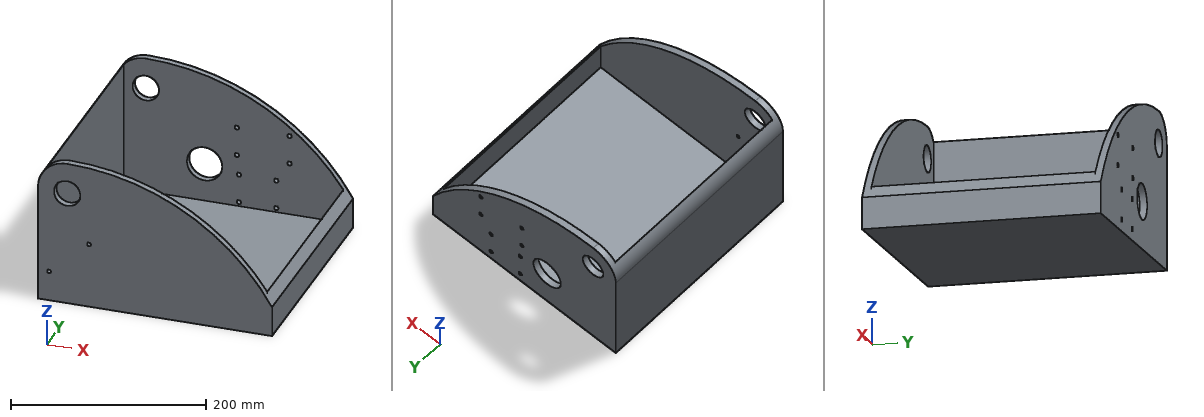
import cadquery as cq
import math

length = 254.0
width = 254.0
height = 161.3
wall = 8.0
floor = 8.0

corner_radius = 31.8
low_end_height = 33.5

handle_diameter = 28.5
handle_place = (corner_radius, 127.0)
cable_diameter = 38.0
cable_place = (95.5, 50.3)
front_screw_diameter = 4.0
front_screw_places = [(12.2, 33.5), (55.4, 72.1)]
back_screw_diameter = 4.5
screw_row_spacing = 31.8
upper_screw_corner = (130.5, 66.5)
upper_screw_spacing = 57.2
lower_screw_corner = (132.8, 12.5)
lower_screw_spacing = 40.5


def outer_body():
    """Side outline with a rounded corner and a sloping arc, extruded across the width."""
    run = length - corner_radius
    drop = height - low_end_height
    arc_radius = (run**2 + drop**2) / (2 * drop)
    half_angle = math.asin(run / arc_radius) / 2
    arc_middle = (
        corner_radius + arc_radius * math.sin(half_angle),
        height - arc_radius * (1 - math.cos(half_angle)),
    )
    corner_offset = corner_radius * (1 - math.sqrt(0.5))
    return (
        cq.Workplane("XZ")
        .lineTo(length, 0)
        .lineTo(length, low_end_height)
        .threePointArc(arc_middle, (corner_radius, height))
        .threePointArc((corner_offset, height - corner_offset), (0, height - corner_radius))
        .close()
        .extrude(-width)
    )


def cavity():
    """Open-topped square space inside the walls."""
    return cq.Workplane("XY").box(
        length - 2 * wall, width - 2 * wall, height, centered=False
    ).translate((wall, wall, floor))


def wall_holes(places, diameter, wall_start):
    """Cylinders through the side wall that starts at the given y."""
    return (
        cq.Workplane("XZ", origin=(0, wall_start, 0))
        .pushPoints(places)
        .circle(diameter / 2)
        .extrude(-wall)
    )


def screw_rectangle(corner, spacing):
    """Four hole places, counted from the lower corner nearest the tall end."""
    x, z = corner
    return [(x + dx, z + dz) for dx in (0, spacing) for dz in (0, screw_row_spacing)]


front_wall = 0.0
back_wall = width - wall
back_screw_places = (
    screw_rectangle(upper_screw_corner, upper_screw_spacing)
    + screw_rectangle(lower_screw_corner, lower_screw_spacing)
)

result = outer_body().cut(cavity())
for wall_start in (front_wall, back_wall):
    result = result.cut(wall_holes([handle_place], handle_diameter, wall_start))
result = result.cut(wall_holes(front_screw_places, front_screw_diameter, front_wall))
result = result.cut(wall_holes([cable_place], cable_diameter, back_wall))
result = result.cut(wall_holes(back_screw_places, back_screw_diameter, back_wall))